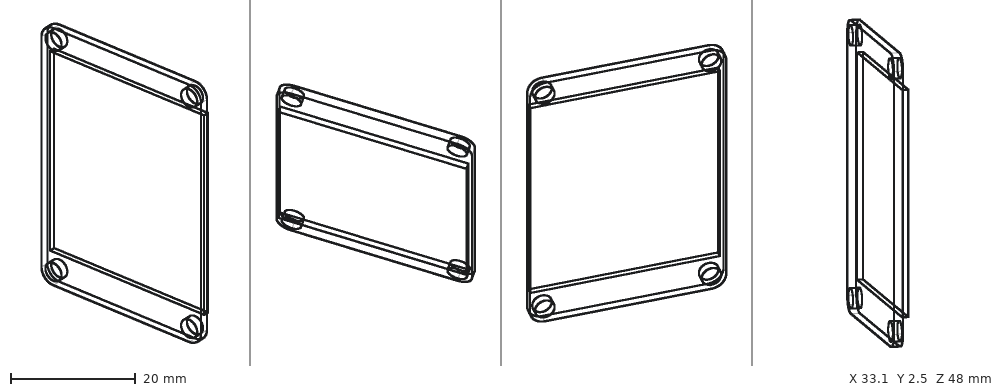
import cadquery as cq

plate_width = 33.1
plate_height = 48.0
plate_thickness = 1.5
corner_radius = 2.5

hole_diameter = 3.3
hole_spacing_x = plate_width - 2 * corner_radius
hole_spacing_z = plate_height - 2 * corner_radius

total_thickness = 2.5
panel_width = 31.9
panel_height = 37.2
panel_thickness = total_thickness - plate_thickness
panel_bottom_margin = 5.1
panel_center_z = panel_bottom_margin + panel_height / 2 - plate_height / 2


def make_plate():
    """Rounded plate from Y = 0 to its thickness, with four corner holes."""
    plate = (
        cq.Workplane("XY")
        .box(plate_width, plate_thickness, plate_height, centered=(True, False, True))
        .edges("|Y")
        .fillet(corner_radius)
    )
    return (
        plate.faces("<Y")
        .workplane(origin=(0, 0, 0))
        .rect(hole_spacing_x, hole_spacing_z, forConstruction=True)
        .vertices()
        .hole(hole_diameter)
    )


def make_panel():
    """Rectangular panel standing on the +Y face of the plate."""
    return (
        cq.Workplane("XY")
        .box(panel_width, panel_thickness, panel_height, centered=(True, False, True))
        .translate((0, plate_thickness, panel_center_z))
    )


result = make_plate().union(make_panel())